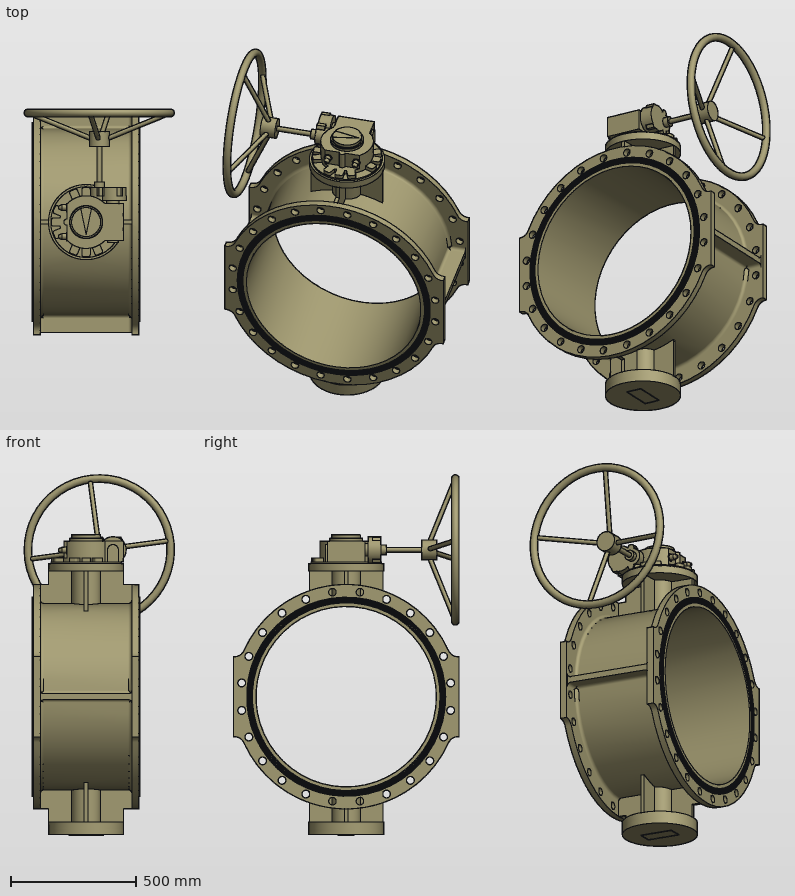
import math

import cadquery as cq


face_to_face = 430.0
raised_face_height = 5.0
raised_face_diameter = 794.0
bore_diameter = 718.0
shell_diameter = 744.0
flange_diameter = 895.0
flange_thickness = 28.0
root_fillet = 13.0
root_fillet_inset = root_fillet * (1 - math.sqrt(0.5))
flange_outer_x = face_to_face / 2 - raised_face_height
flange_inner_x = flange_outer_x - flange_thickness

bolt_circle = 840.0
bolt_hole_diameter = 30.0
bolt_count = 24

groove_count = 3
groove_inner_radius = 374.0
groove_pitch = 8.0
groove_width = 4.0
groove_depth = 2.0

ear_half_width = 450.0
ear_half_height = 160.0
ear_blend_radius = 40.0
web_half_width = 441.0
web_thickness = 24.0

neck_diameter = 116.0
pad_diameter = 300.0
pad_inner_z = 500.0
pad_thickness = 30.0
pad_outer_z = pad_inner_z + pad_thickness
rib_thickness = 15.0
rib_half_width_x = 150.0
rib_half_width_y = 147.0
cover_thickness = 20.0
emblem_length = 137.0
emblem_width = 64.0
emblem_height = 2.74

hexagon_sides = 6
gear_flange_radius = 141.0
gear_flange_top = 537.0
lug_width = 33.0
lug_outer_radius = 138.0
lug_top = 553.0
lug_corner = 8.0
lug_step = 22.5
lug_group_count = 4
gear_radius = 105.0
gear_top = 620.0
gear_flat_x = -77.0
worm_box_end_x = 149.0
worm_box_half_width = 74.0
worm_box_start_x = 50.0
cap_radius = 66.0
cap_top = 633.0
cap_chamfer = 2.0
dial_diameter = 116.0
dial_top = 646.0
pointer_half_width = 22.0
pointer_length = 50.0
pointer_depth = 1.0
spine_radius = 12.0
stop_screw_y = 58.0
stop_screw_z = 584.0
stop_nut_radius = 17.0
stop_nut_length = 2.0
stop_cap_radius = 12.0
stop_cap_length = 18.0
stop_tip_radius = 5.0
stop_tip_length = 14.0

worm_x = 107.0
drive_z = 585.0
worm_cover_radius = 21.5
worm_cover_thickness = 8.0
worm_neck_radius = 25.0
drive_inner_y = 87.0
drive_outer_y = 138.0
drive_radius = 53.0
drive_input_radius = 35.0
drive_screw_across_corners = 30.0
drive_screw_inner_y = 104.0
drive_screw_x_positions = (58.0, 131.0)
drive_screw_offset_z = 38.0
gland_radius = 20.0
gland_end_y = 160.0

wheel_x = 52.5
wheel_diameter = 600.0
rim_tube_diameter = 31.0
rim_y = 435.0
hub_diameter = 80.0
hub_inner_y = 301.0
hub_outer_y = 361.0
shaft_diameter = 20.0
spoke_diameter = 18.0
spoke_start_y = 320.0
spoke_count = 4
spoke_tilt = 7.5
rim_seam_angle = 45.0
rim_radius = (wheel_diameter - rim_tube_diameter) / 2


def cylinder_x(radius, x0, x1, y=0.0, z=0.0):
    return cq.Workplane("YZ", origin=(x0, y, z)).circle(radius).extrude(x1 - x0)


def cylinder_y(radius, y0, y1, x, z):
    return cq.Workplane("XZ", origin=(x, y0, z)).circle(radius).extrude(y0 - y1)


def cylinder_z(radius, z0, z1):
    return cq.Workplane("XY", origin=(0, 0, z0)).circle(radius).extrude(z1 - z0)


def box(x0, x1, y0, y1, z0, z1):
    return cq.Workplane("XY").box(x1 - x0, y1 - y0, z1 - z0, centered=False).translate((x0, y0, z0))


def ear_outline():
    """Flange ears: a wide rectangle blended into the flange circle by concave arcs."""
    flange_radius = flange_diameter / 2
    centre_z = ear_half_height + ear_blend_radius
    centre_distance = flange_radius + ear_blend_radius
    centre_y = math.sqrt(centre_distance**2 - centre_z**2)
    tangent_y = centre_y * flange_radius / centre_distance
    tangent_z = centre_z * flange_radius / centre_distance
    straight_down = 1.5 * math.pi
    toward_origin = math.pi + math.atan2(centre_z, centre_y)
    middle_angle = (straight_down + toward_origin) / 2
    middle_y = centre_y + ear_blend_radius * math.cos(middle_angle)
    middle_z = centre_z + ear_blend_radius * math.sin(middle_angle)
    return (
        cq.Workplane("YZ")
        .moveTo(ear_half_width, -ear_half_height)
        .lineTo(ear_half_width, ear_half_height)
        .lineTo(centre_y, ear_half_height)
        .threePointArc((middle_y, middle_z), (tangent_y, tangent_z))
        .lineTo(-tangent_y, tangent_z)
        .threePointArc((-middle_y, middle_z), (-centre_y, ear_half_height))
        .lineTo(-ear_half_width, ear_half_height)
        .lineTo(-ear_half_width, -ear_half_height)
        .lineTo(-centre_y, -ear_half_height)
        .threePointArc((-middle_y, -middle_z), (-tangent_y, -tangent_z))
        .lineTo(tangent_y, -tangent_z)
        .threePointArc((middle_y, -middle_z), (centre_y, -ear_half_height))
        .close()
    )


def make_flange():
    """End flange on the +X side, with raised face, ears and bolt holes."""
    disc = cylinder_x(flange_diameter / 2, flange_inner_x, flange_outer_x)
    ears = ear_outline().extrude(flange_thickness).translate((flange_inner_x, 0, 0))
    face = cylinder_x(raised_face_diameter / 2, flange_outer_x, face_to_face / 2)
    holes = (
        cq.Workplane("YZ", origin=(flange_inner_x, 0, 0))
        .polarArray(bolt_circle / 2, 180 / bolt_count, 360, bolt_count)
        .circle(bolt_hole_diameter / 2)
        .extrude(flange_thickness)
    )
    flange = disc.union(ears).union(face).cut(holes)
    for i in range(groove_count):
        inner = groove_inner_radius + i * groove_pitch
        groove = (
            cq.Workplane("YZ", origin=(face_to_face / 2 - groove_depth, 0, 0))
            .circle(inner + groove_width)
            .circle(inner)
            .extrude(groove_depth)
        )
        flange = flange.cut(groove)
    return flange


def make_shell():
    """Tube between the flanges, flared by a fillet at each flange."""
    radius = shell_diameter / 2
    straight = flange_inner_x - root_fillet
    flare_x = flange_inner_x - root_fillet_inset
    flare_radius = radius + root_fillet_inset
    return (
        cq.Workplane("XY")
        .moveTo(-flange_inner_x, 0)
        .lineTo(-flange_inner_x, radius + root_fillet)
        .threePointArc((-flare_x, flare_radius), (-straight, radius))
        .lineTo(straight, radius)
        .threePointArc((flare_x, flare_radius), (flange_inner_x, radius + root_fillet))
        .lineTo(flange_inner_x, 0)
        .close()
        .revolve(360, (0, 0, 0), (1, 0, 0))
    )


def make_webs():
    """Horizontal web between the flange ears on both sides, filleted at the flanges and the shell."""
    half = web_thickness / 2
    shell_radius = shell_diameter / 2
    web = box(-flange_inner_x, flange_inner_x, -web_half_width, web_half_width, -half, half)
    centre_z = half + root_fillet
    centre_y = math.sqrt((shell_radius + root_fillet)**2 - centre_z**2)
    tangent_scale = shell_radius / (shell_radius + root_fillet)
    for side in (-1, 1):
        for end in (-1, 1):
            for level in (-1, 1):
                edge_fillet = (
                    cq.Workplane("XZ", origin=(0, side * shell_radius, 0))
                    .moveTo(end * flange_inner_x, level * half)
                    .lineTo(end * flange_inner_x, level * centre_z)
                    .threePointArc(
                        (end * (flange_inner_x - root_fillet_inset), level * (half + root_fillet_inset)),
                        (end * (flange_inner_x - root_fillet), level * half),
                    )
                    .close()
                    .extrude(-side * (web_half_width - shell_radius))
                )
                web = web.union(edge_fillet)
        for level in (-1, 1):
            root = (
                cq.Workplane("YZ", origin=(-flange_inner_x, 0, 0))
                .moveTo(side * centre_y, level * half)
                .threePointArc(
                    (side * (centre_y - root_fillet * math.sqrt(0.5)), level * (half + root_fillet_inset)),
                    (side * centre_y * tangent_scale, level * centre_z * tangent_scale),
                )
                .lineTo(side * centre_y * tangent_scale, level * half)
                .close()
                .extrude(2 * flange_inner_x)
            )
            web = web.union(root)
    return web


def make_stem_mount():
    """Upper neck with its pad and crossed ribs; the lower one is its mirror image."""
    flange_radius = flange_diameter / 2
    half = rib_thickness / 2
    neck = cylinder_z(neck_diameter / 2, 0, pad_inner_z)
    pad = cylinder_z(pad_diameter / 2, pad_inner_z, pad_outer_z)
    cross_rib = box(-half, half, -rib_half_width_y, rib_half_width_y, 0, pad_inner_z)
    long_rib = box(-rib_half_width_x, rib_half_width_x, -half, half, 0, pad_inner_z)
    low_rib = box(-flange_inner_x, flange_inner_x, -half, half, 0, flange_radius)
    return neck.union(pad).union(cross_rib).union(long_rib).union(low_rib)


def make_bottom_cover():
    cover_bottom = -pad_outer_z - cover_thickness
    cover = cylinder_z(pad_diameter / 2, cover_bottom, -pad_outer_z)
    emblem = box(
        -emblem_length / 2, emblem_length / 2, -emblem_width / 2, emblem_width / 2,
        cover_bottom - emblem_height, cover_bottom,
    )
    return cover.union(emblem)


def make_body():
    flange = make_flange()
    mount = make_stem_mount()
    body = make_shell().union(make_webs())
    body = body.union(mount).union(mount.mirror("XY"))
    body = body.union(flange).union(flange.mirror("YZ"))
    bore = cylinder_x(bore_diameter / 2, -face_to_face / 2, face_to_face / 2)
    return body.cut(bore).union(make_bottom_cover())


def make_gear_flange():
    """Round flange with groups of three bolting lugs."""
    flange = cylinder_z(gear_flange_radius, pad_outer_z, gear_flange_top)
    lug = box(0, lug_outer_radius, -lug_width / 2, lug_width / 2, gear_flange_top, lug_top)
    lug = lug.edges("|Z and >X").fillet(lug_corner)
    for group in range(lug_group_count):
        for offset in (-lug_step, 0, lug_step):
            angle = 360 / lug_group_count * group + offset
            flange = flange.union(lug.rotate((0, 0, 0), (0, 0, 1), angle))
    return flange


def make_stop_screw(y):
    nut_end = gear_flat_x - stop_nut_length
    cap_end = nut_end - stop_cap_length
    nut = (
        cq.Workplane("YZ", origin=(nut_end, y, stop_screw_z))
        .polygon(hexagon_sides, 2 * stop_nut_radius)
        .extrude(stop_nut_length)
    )
    cap = cylinder_x(stop_cap_radius, cap_end, nut_end, y, stop_screw_z)
    tip = (
        cq.Workplane("YZ", origin=(cap_end, y, stop_screw_z))
        .circle(stop_cap_radius)
        .workplane(offset=-stop_tip_length)
        .circle(stop_tip_radius)
        .loft()
    )
    return nut.union(cap).union(tip)


def make_position_dial():
    cap = cylinder_z(cap_radius, gear_top, cap_top).faces(">Z").chamfer(cap_chamfer)
    dial = cylinder_z(dial_diameter / 2, cap_top, dial_top)
    pointer = (
        cq.Workplane("XY", origin=(0, 0, dial_top - pointer_depth))
        .polyline([
            (0, -pointer_length),
            (pointer_half_width, dial_diameter / 2),
            (-pointer_half_width, dial_diameter / 2),
        ])
        .close()
        .extrude(pointer_depth)
    )
    return cap.union(dial.cut(pointer))


def make_gearbox():
    drum = cylinder_z(gear_radius, gear_flange_top, gear_top)
    flat_clearance = box(-gear_radius, gear_flat_x, -gear_radius, gear_radius, lug_top, gear_top)
    drum = drum.cut(flat_clearance)
    worm_box = box(
        worm_box_start_x, worm_box_end_x, -worm_box_half_width, worm_box_half_width,
        gear_flange_top, gear_top,
    )
    spine = cylinder_z(spine_radius, gear_flange_top, gear_top).translate((gear_flat_x, 0, 0))
    gearbox = make_gear_flange().union(drum).union(worm_box).union(spine)
    for y in (-stop_screw_y, stop_screw_y):
        gearbox = gearbox.union(make_stop_screw(y))
    return gearbox.union(make_position_dial())


def make_worm_cover():
    """Arched cover over the worm end, on the -Y wall of the worm box."""
    outer_y = -worm_box_half_width - worm_cover_thickness
    arch = cylinder_y(worm_cover_radius, outer_y, -worm_box_half_width, worm_x, drive_z)
    leg = box(
        worm_x - worm_cover_radius, worm_x + worm_cover_radius, outer_y, -worm_box_half_width,
        gear_flange_top, drive_z,
    )
    return arch.union(leg)


def make_drive_stage():
    """Reduction stage joining the handwheel shaft to the worm."""
    neck = cylinder_y(worm_neck_radius, worm_box_half_width, drive_inner_y, worm_x, drive_z)
    stage = cylinder_y(drive_radius, drive_inner_y, drive_outer_y, worm_x, drive_z)
    stage = stage.union(cylinder_y(drive_input_radius, drive_inner_y, drive_outer_y, wheel_x, drive_z))
    for x in drive_screw_x_positions:
        for z in (drive_z - drive_screw_offset_z, drive_z + drive_screw_offset_z):
            screw = (
                cq.Workplane("XZ", origin=(x, drive_screw_inner_y, z))
                .polygon(hexagon_sides, drive_screw_across_corners)
                .extrude(drive_screw_inner_y - drive_outer_y)
            )
            stage = stage.union(screw)
    gland = cylinder_y(gland_radius, drive_outer_y, gland_end_y, wheel_x, drive_z)
    return stage.union(neck).union(gland)


def make_rim():
    """Rim ring revolved from two half circles, which keeps its seams clear of the spokes."""
    tube_radius = rim_tube_diameter / 2
    return (
        cq.Workplane("XY", origin=(wheel_x, 0, drive_z))
        .moveTo(rim_radius, rim_y - tube_radius)
        .threePointArc((rim_radius + tube_radius, rim_y), (rim_radius, rim_y + tube_radius))
        .threePointArc((rim_radius - tube_radius, rim_y), (rim_radius, rim_y - tube_radius))
        .close()
        .revolve(360, (0, 0, 0), (0, 1, 0), clean=False)
        .rotate((wheel_x, 0, drive_z), (wheel_x, 1, drive_z), rim_seam_angle)
    )


def make_handwheel():
    shaft = cylinder_y(shaft_diameter / 2, gland_end_y, hub_inner_y, wheel_x, drive_z)
    hub = cylinder_y(hub_diameter / 2, hub_inner_y, hub_outer_y, wheel_x, drive_z)
    wheel = make_rim()
    spoke_length = math.hypot(rim_radius, rim_y - spoke_start_y)
    for i in range(spoke_count):
        angle = math.radians(spoke_tilt + i * 360 / spoke_count)
        direction = cq.Vector(
            rim_radius * math.cos(angle), rim_y - spoke_start_y, rim_radius * math.sin(angle))
        start = cq.Vector(wheel_x, spoke_start_y, drive_z)
        spoke = cq.Solid.makeCylinder(spoke_diameter / 2, spoke_length, start, direction)
        wheel = wheel.union(cq.Workplane("XY").add(spoke), clean=False)
    return wheel.union(hub, clean=False).union(shaft, clean=False)


result = (
    make_body()
    .union(make_gearbox())
    .union(make_worm_cover())
    .union(make_drive_stage())
    .union(make_handwheel(), clean=False)
)